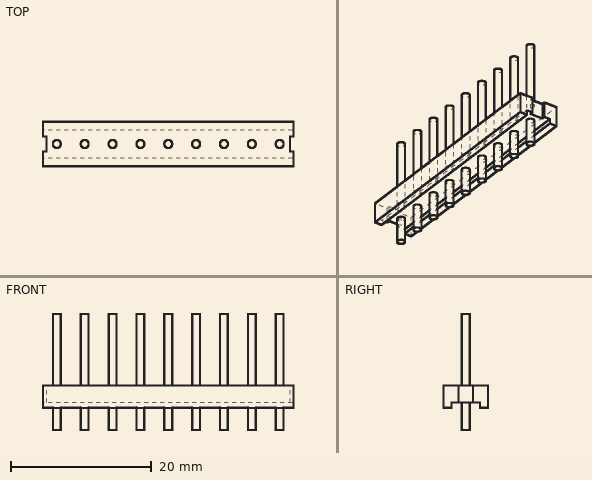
import cadquery as cq

length = 35.65
width = 6.35
body_height = 3.2

channel_width = 4.0
channel_depth = 0.75

notch_width = 2.07
notch_depth = 0.5

pin_count = 9
pin_pitch = length / pin_count
pin_diameter = 1.15
pin_length = 16.5
pin_below_body = 3.15


def make_housing():
    """Bar with its underside at Z = 0, channelled below and notched at both ends."""
    housing = cq.Workplane("XY").box(length, width, body_height, centered=(True, True, False))
    channel = cq.Workplane("XY").box(length, channel_width, channel_depth, centered=(True, True, False))
    notches = (
        cq.Workplane("XY")
        .pushPoints([(-length / 2, 0), (length / 2, 0)])
        .rect(2 * notch_depth, notch_width)
        .extrude(body_height)
    )
    return housing.cut(channel).cut(notches)


def make_pins():
    """Single row of round pins passing through the housing."""
    return (
        cq.Workplane("XY")
        .workplane(offset=-pin_below_body)
        .rarray(pin_pitch, 0.35, pin_count, 1)
        .circle(pin_diameter / 2)
        .extrude(pin_length)
    )


result = make_housing().union(make_pins())